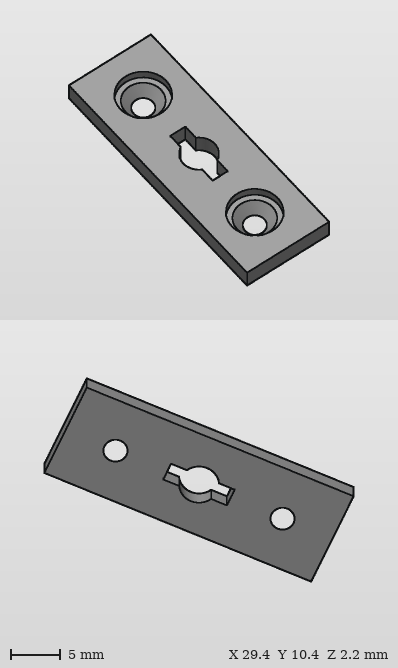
import cadquery as cq

plate_length = 29.4
plate_width = 10.4
plate_thickness = 2.2

screw_spacing = 18.4
recess_diameter = 5.8
recess_depth = 1.0
seat_top_diameter = 4.5
seat_bottom_diameter = 2.4

center_hole_diameter = 4.0
slot_length = 7.0
slot_width = 1.9


def make_plate():
    """Rectangular plate centred on the origin in X and Y, resting on Z = 0."""
    return cq.Workplane("XY").box(
        plate_length, plate_width, plate_thickness, centered=(True, True, False)
    )


def make_screw_hole(x):
    """Revolved cutter for one recessed screw hole with its axis at the given X."""
    recess_floor = plate_thickness - recess_depth
    profile = (
        cq.Workplane("XZ")
        .moveTo(0, 0)
        .lineTo(seat_bottom_diameter / 2, 0)
        .lineTo(seat_top_diameter / 2, recess_floor)
        .lineTo(recess_diameter / 2, recess_floor)
        .lineTo(recess_diameter / 2, plate_thickness)
        .lineTo(0, plate_thickness)
        .close()
    )
    return profile.revolve(360, (0, 0, 0), (0, 1, 0)).translate((x, 0, 0))


def make_center_opening():
    """Cutter for the round hole and its crossing slot, through the full thickness."""
    hole = cq.Workplane("XY").circle(center_hole_diameter / 2).extrude(plate_thickness)
    slot = cq.Workplane("XY").rect(slot_length, slot_width).extrude(plate_thickness)
    return hole.union(slot)


result = make_plate().cut(make_center_opening())
for side in (-1, 1):
    result = result.cut(make_screw_hole(side * screw_spacing / 2))